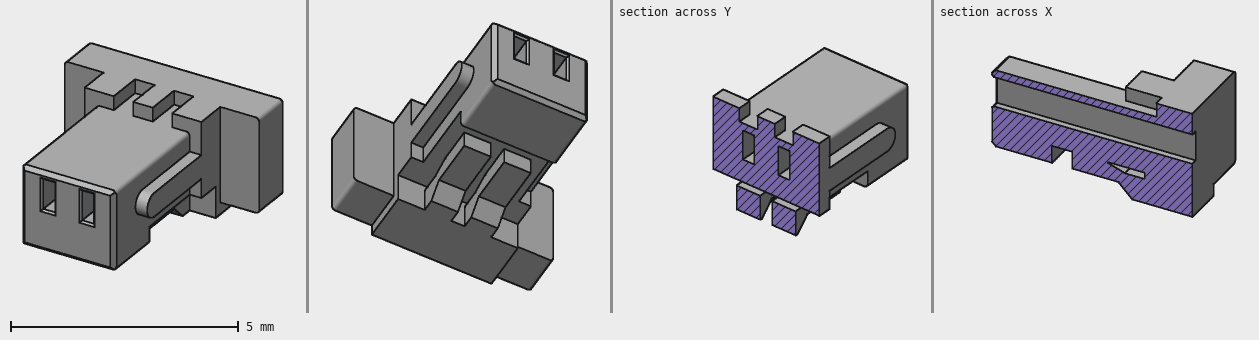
import cadquery as cq


total_depth = 5.0
total_height = 2.7
edge_size = 0.1

flange_width = 5.0
flange_height = 2.4
flange_depth = 1.0

collar_width = 3.0
collar_depth = 1.8
foot_depth = 1.2

body_width = 2.4
body_height = 2.0
body_bottom = 0.35
body_top = body_bottom + body_height
recess_top = 0.79
recess_end_depth = 3.5

rib_height = 0.6
rib_center_z = 1.57
rib_end_depth = 4.1

contact_pitch = 1.0
contact_xs = (-contact_pitch / 2, contact_pitch / 2)

opening_width = 0.3
opening_height = 0.75
opening_center_z = 1.77
opening_chamfer = 0.05

notch_width = 0.5
notch_start_depth = 0.9

arm_width = 2 / 3
arm_end_depth = 3.0
arm_toe_depth = 1.5
arm_gap = 0.15
arm_gap_flat_depth = 1.68
arm_gap_end_depth = 2.13


def block(width, start_depth, end_depth, bottom, top, center_x=0):
    """Box between two depths and two heights, centred on center_x."""
    return cq.Workplane("XY").box(
        width, end_depth - start_depth, top - bottom, centered=(True, False, False)
    ).translate((center_x, -end_depth, bottom))


def side_profile(points, width, center_x=0):
    """Extrude an outline of (depth, height) points across X."""
    outline = [(-depth, height) for depth, height in points]
    return (
        cq.Workplane("YZ")
        .polyline(outline)
        .close()
        .extrude(width / 2, both=True)
        .translate((center_x, 0, 0))
    )


def make_flange():
    flange = block(flange_width, 0, flange_depth, total_height - flange_height, total_height)
    return flange.edges("|Y").fillet(edge_size)


def make_body():
    """Overlap of a bar with rounded long edges and a box with a chamfered mating face."""
    plain = block(body_width, 0, total_depth, body_bottom, body_top)
    rounded = plain.edges("|Y").fillet(edge_size)
    chamfered = plain.faces("<Y").chamfer(edge_size)
    body = rounded.intersect(chamfered)
    recess = block(body_width, foot_depth, recess_end_depth, body_bottom, recess_top)
    return body.cut(recess)


def make_collar():
    return block(collar_width, 0, collar_depth, recess_top, total_height)


def make_foot():
    return block(collar_width, 0, foot_depth, 0, recess_top)


def make_notch(x):
    """Notch through the collar and slightly into the flange, floor level with the body top."""
    return block(notch_width, notch_start_depth, collar_depth, body_top, total_height, x)


def make_ribs():
    """One bar through the body whose two ends form the side ribs."""
    nose_radius = rib_height / 2
    straight_end = rib_end_depth - nose_radius
    bottom = rib_center_z - nose_radius
    top = rib_center_z + nose_radius
    bar = block(collar_width, flange_depth, straight_end, bottom, top)
    nose = (
        cq.Workplane("YZ")
        .center(-straight_end, rib_center_z)
        .circle(nose_radius)
        .extrude(collar_width / 2, both=True)
    )
    return bar.union(nose)


def make_latch_arm(x):
    gap_bottom = recess_top - arm_gap
    ramp_end_depth = arm_toe_depth + body_bottom
    outline = [
        (foot_depth, 0),
        (arm_toe_depth, 0),
        (ramp_end_depth, body_bottom),
        (arm_end_depth, body_bottom),
        (arm_end_depth, recess_top),
        (arm_gap_end_depth, recess_top),
        (arm_gap_flat_depth, gap_bottom),
        (foot_depth, gap_bottom),
    ]
    return side_profile(outline, arm_width, x)


def make_opening(x):
    """Rectangular passage through the full depth, flared at the mating face."""
    passage = block(
        opening_width,
        0,
        total_depth,
        opening_center_z - opening_height / 2,
        opening_center_z + opening_height / 2,
        x,
    )
    flare = (
        cq.Workplane("XZ", origin=(x, -total_depth + opening_chamfer, opening_center_z))
        .rect(opening_width, opening_height)
        .workplane(offset=opening_chamfer)
        .rect(opening_width + 2 * opening_chamfer, opening_height + 2 * opening_chamfer)
        .loft(ruled=True)
    )
    return passage.union(flare)


result = make_body()
for section in (make_flange(), make_collar(), make_foot(), make_ribs()):
    result = result.union(section)
for contact_x in contact_xs:
    result = result.union(make_latch_arm(contact_x))
    result = result.cut(make_notch(contact_x))
    result = result.cut(make_opening(contact_x))